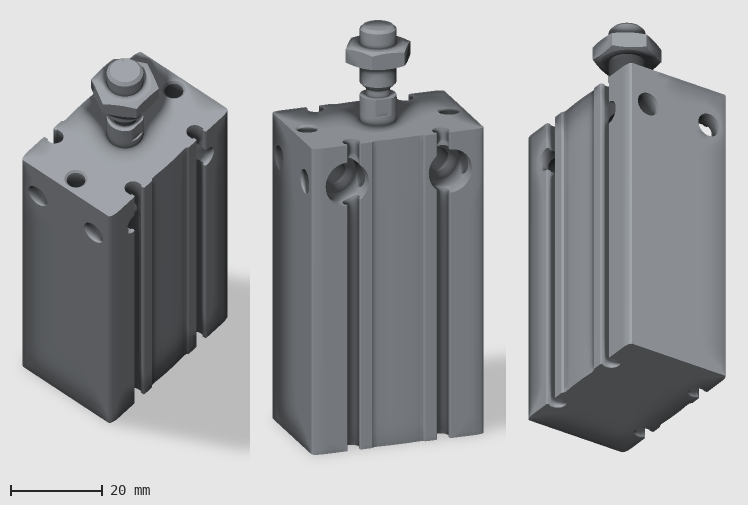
import cadquery as cq
import math

TOTAL_HEIGHT = 93.0
ROD_LENGTH = 21.95
BODY_HEIGHT = TOTAL_HEIGHT - ROD_LENGTH
BODY_WIDTH = 26.0
BODY_DEPTH = 40.0
HALF_WIDTH = BODY_WIDTH / 2
HALF_DEPTH = BODY_DEPTH / 2

CORNER_CHAMFER = 0.42
CROWN_DROP = 0.33
CROWN_START = 17.6
GROOVE_OUTER_Y = 6.2
GROOVE_WALL_Y = 5.8
GROOVE_INNER_Y = 5.1
GROOVE_WALL_DEPTH = 0.4
GROOVE_DEPTH = 0.5
BULGE_DEPTH = 0.3

SLOT_Y = 10.4
SLOT_MOUTH = 3.0
SLOT_CHAMFER = 0.2
SLOT_RADIUS = 1.9
SLOT_DEPTH = 3.7
SLOT_LIP = 0.9

MOUNT_DROP = 9.0
MOUNT_Z = BODY_HEIGHT - MOUNT_DROP
MOUNT_DIAMETER = 5.5
SIDE_HOLE_SPACING = 24.0
FRONT_HOLE_SPACING = 16.0
COUNTERBORE_DIAMETER = 10.0
COUNTERBORE_DEPTH = 8.4

TAP_SPACING = 33.0
TAP_DIAMETER = 4.1
TAP_MOUTH_DIAMETER = 5.0
TAP_DEPTH = 8.0
DRILL_POINT_ANGLE = 118.0

ROD_DIAMETER = 8.0
NECK_DIAMETER = 5.3
NECK_BOTTOM = 5.95
NECK_TOP = 7.5
TAPER_TOP = 8.8
TIP_DIAMETER = 6.6
TIP_CHAMFER = (ROD_DIAMETER - TIP_DIAMETER) / 2
FLATS_WIDTH = 7.1
FLATS_BOTTOM = 2.0

NUT_ACROSS_FLATS = 13.0
NUT_ACROSS_CORNERS = NUT_ACROSS_FLATS / math.cos(math.radians(30))
NUT_BOTTOM = 13.7
NUT_THICKNESS = 4.2
NUT_FACE_DIAMETER = 11.6
NUT_CHAMFER_HEIGHT = 0.6


def mirrored_pair(spacing):
    """Two positions placed symmetrically about zero."""
    return (-spacing / 2, spacing / 2)


def body_blank():
    """Extruded body with crowned corners, shallow grooves and bulged side strips."""
    crown_x = HALF_WIDTH - CROWN_DROP
    crown_end_y = HALF_DEPTH - CORNER_CHAMFER
    crown_mid_y = (CROWN_START + crown_end_y) / 2
    crown_mid_x = HALF_WIDTH - CROWN_DROP / 4
    wall_x = HALF_WIDTH - GROOVE_WALL_DEPTH
    groove_x = HALF_WIDTH - GROOVE_DEPTH
    end_x = crown_x - CORNER_CHAMFER
    return (
        cq.Workplane("XY")
        .moveTo(0, -HALF_DEPTH)
        .lineTo(end_x, -HALF_DEPTH)
        .lineTo(crown_x, -crown_end_y)
        .threePointArc((crown_mid_x, -crown_mid_y), (HALF_WIDTH, -CROWN_START))
        .lineTo(HALF_WIDTH, -GROOVE_OUTER_Y)
        .lineTo(wall_x, -GROOVE_WALL_Y)
        .lineTo(groove_x, -GROOVE_INNER_Y)
        .threePointArc((HALF_WIDTH - BULGE_DEPTH, 0), (groove_x, GROOVE_INNER_Y))
        .lineTo(wall_x, GROOVE_WALL_Y)
        .lineTo(HALF_WIDTH, GROOVE_OUTER_Y)
        .lineTo(HALF_WIDTH, CROWN_START)
        .threePointArc((crown_mid_x, crown_mid_y), (crown_x, crown_end_y))
        .lineTo(end_x, HALF_DEPTH)
        .lineTo(0, HALF_DEPTH)
        .mirrorY()
        .extrude(BODY_HEIGHT)
    )


def sensor_slot(side, y):
    """Full-length round-bottomed slot behind a narrower mouth; side is -1 or +1 along X."""
    lip_x = side * (HALF_WIDTH - SLOT_LIP)
    center_x = side * (HALF_WIDTH - SLOT_DEPTH + SLOT_RADIUS)
    bottom_x = side * (HALF_WIDTH - SLOT_DEPTH)
    channel = (
        cq.Workplane("XY")
        .moveTo(lip_x, y - SLOT_RADIUS)
        .lineTo(center_x, y - SLOT_RADIUS)
        .threePointArc((bottom_x, y), (center_x, y + SLOT_RADIUS))
        .lineTo(lip_x, y + SLOT_RADIUS)
        .close()
        .extrude(BODY_HEIGHT)
    )
    chamfer_x = side * (HALF_WIDTH - SLOT_CHAMFER)
    half_mouth = SLOT_MOUTH / 2
    half_entry = half_mouth + SLOT_CHAMFER
    mouth = (
        cq.Workplane("XY")
        .moveTo(lip_x, y - half_mouth)
        .lineTo(chamfer_x, y - half_mouth)
        .lineTo(side * HALF_WIDTH, y - half_entry)
        .lineTo(side * HALF_WIDTH, y + half_entry)
        .lineTo(chamfer_x, y + half_mouth)
        .lineTo(lip_x, y + half_mouth)
        .close()
        .extrude(BODY_HEIGHT)
    )
    return channel.union(mouth)


def side_mounting_hole(y):
    """Through hole along X, counterbored from the -X side."""
    plane = cq.Workplane("YZ", origin=(-HALF_WIDTH, y, MOUNT_Z))
    hole = plane.circle(MOUNT_DIAMETER / 2).extrude(BODY_WIDTH)
    counterbore = plane.circle(COUNTERBORE_DIAMETER / 2).extrude(COUNTERBORE_DEPTH)
    return hole.union(counterbore)


def front_mounting_hole(x):
    """Plain through hole along Y."""
    plane = cq.Workplane("XZ", origin=(x, HALF_DEPTH, MOUNT_Z))
    return plane.circle(MOUNT_DIAMETER / 2).extrude(BODY_DEPTH)


def tapped_hole(y):
    """Blind hole in the top face with a chamfered mouth and a drill-point bottom."""
    radius = TAP_DIAMETER / 2
    mouth_radius = TAP_MOUTH_DIAMETER / 2
    point_height = radius / math.tan(math.radians(DRILL_POINT_ANGLE / 2))
    return (
        cq.Workplane("XZ", origin=(0, y, BODY_HEIGHT))
        .moveTo(0, 0)
        .lineTo(mouth_radius, 0)
        .lineTo(radius, radius - mouth_radius)
        .lineTo(radius, -TAP_DEPTH)
        .lineTo(0, -TAP_DEPTH - point_height)
        .close()
        .revolve()
    )


def make_body():
    """Cylinder body with slots, mounting holes and tapped holes."""
    body = body_blank()
    for side in (-1, 1):
        for y in (-SLOT_Y, SLOT_Y):
            body = body.cut(sensor_slot(side, y))
    for y in mirrored_pair(SIDE_HOLE_SPACING):
        body = body.cut(side_mounting_hole(y))
    for x in mirrored_pair(FRONT_HOLE_SPACING):
        body = body.cut(front_mounting_hole(x))
    for y in mirrored_pair(TAP_SPACING):
        body = body.cut(tapped_hole(y))
    return body


def flat_cutter(side):
    """Block outside one spanner flat; side is -1 or +1 along X."""
    return (
        cq.Workplane("XY", origin=(0, 0, BODY_HEIGHT + FLATS_BOTTOM))
        .center(side * (FLATS_WIDTH + ROD_DIAMETER) / 2, 0)
        .rect(ROD_DIAMETER, ROD_DIAMETER)
        .extrude(NECK_BOTTOM - FLATS_BOTTOM)
    )


def make_rod():
    """Piston rod standing on the body, with spanner flats, a neck and a chamfered tip."""
    radius = ROD_DIAMETER / 2
    neck_radius = NECK_DIAMETER / 2
    rod = (
        cq.Workplane("XZ", origin=(0, 0, BODY_HEIGHT))
        .moveTo(0, 0)
        .lineTo(radius, 0)
        .lineTo(radius, NECK_BOTTOM)
        .lineTo(neck_radius, NECK_BOTTOM)
        .lineTo(neck_radius, NECK_TOP)
        .lineTo(radius, TAPER_TOP)
        .lineTo(radius, ROD_LENGTH - TIP_CHAMFER)
        .lineTo(TIP_DIAMETER / 2, ROD_LENGTH)
        .lineTo(0, ROD_LENGTH)
        .close()
        .revolve()
    )
    for side in (-1, 1):
        rod = rod.cut(flat_cutter(side))
    return rod


def make_nut():
    """Hexagon nut on the rod, corners pointing along Y, chamfered on both faces."""
    corner_radius = NUT_ACROSS_CORNERS / 2
    face_radius = NUT_FACE_DIAMETER / 2
    plane = cq.Workplane("XY", origin=(0, 0, BODY_HEIGHT + NUT_BOTTOM))
    hexagon = (
        plane.transformed(rotate=(0, 0, 90))
        .polygon(6, NUT_ACROSS_CORNERS)
        .circle(ROD_DIAMETER / 2)
        .extrude(NUT_THICKNESS)
    )
    chamfered_disc = (
        cq.Workplane("XZ", origin=(0, 0, BODY_HEIGHT + NUT_BOTTOM))
        .moveTo(0, 0)
        .lineTo(face_radius, 0)
        .lineTo(corner_radius, NUT_CHAMFER_HEIGHT)
        .lineTo(corner_radius, NUT_THICKNESS - NUT_CHAMFER_HEIGHT)
        .lineTo(face_radius, NUT_THICKNESS)
        .lineTo(0, NUT_THICKNESS)
        .close()
        .revolve()
    )
    return hexagon.intersect(chamfered_disc)


body = make_body().solids()
rod = make_rod().solids()
nut = make_nut().solids()

result = cq.Compound.makeCompound([body.val(), rod.val(), nut.val()])